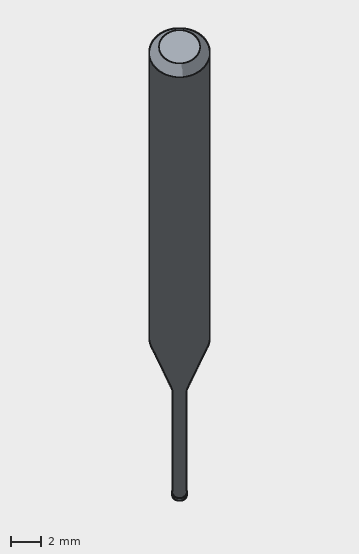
import cadquery as cq

TOTAL_LENGTH = 50.0
SHANK_RADIUS = 2.0
SHANK_CHAMFER = 0.65

TAPER_TOP = 17.6
TAPER_BOTTOM = 12.0

NECK_RADIUS = 0.475
COLLAR_RADIUS = 0.5
COLLAR_LENGTH = 0.3

HEAD_RADIUS = 0.5
HEAD_LENGTH = 0.4
CORNER_RADIUS = 0.15


def make_holder():
    """Shank, taper, collar and neck, turned as one body standing on the cutting head."""
    collar_bottom = TAPER_BOTTOM - COLLAR_LENGTH
    shank_top = TOTAL_LENGTH - SHANK_CHAMFER
    return (
        cq.Workplane("XZ")
        .moveTo(0, HEAD_LENGTH)
        .lineTo(NECK_RADIUS, HEAD_LENGTH)
        .lineTo(NECK_RADIUS, collar_bottom)
        .lineTo(COLLAR_RADIUS, TAPER_BOTTOM)
        .lineTo(SHANK_RADIUS, TAPER_TOP)
        .lineTo(SHANK_RADIUS, shank_top)
        .lineTo(SHANK_RADIUS - SHANK_CHAMFER, TOTAL_LENGTH)
        .lineTo(0, TOTAL_LENGTH)
        .close()
        .revolve(360, (0, 0, 0), (0, 1, 0))
    )


def make_cutting_head():
    """Short round head at the working end, with its lower edge rounded."""
    return (
        cq.Workplane("XY")
        .circle(HEAD_RADIUS)
        .extrude(HEAD_LENGTH)
        .faces("<Z")
        .edges()
        .fillet(CORNER_RADIUS)
    )


holder = make_holder()
cutting_head = make_cutting_head()

result = cq.Compound.makeCompound([holder.val(), cutting_head.val()])